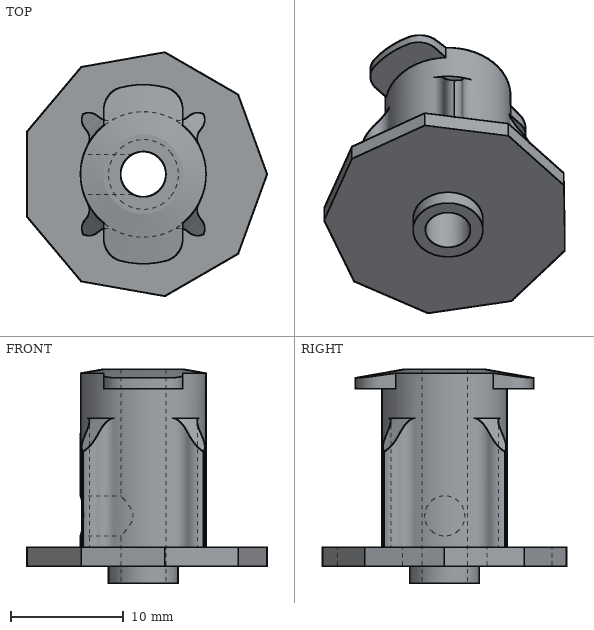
import cadquery as cq
import math

total_height = 19.0
spigot_height = 1.5
flange_thickness = 1.7
flange_top = spigot_height + flange_thickness
lug_underside = 17.25

bore_radius = 2.0
spigot_radius = 3.1
body_radius = 5.575
top_flat_radius = 3.55
top_slope_angle = 10.0

flange_sides = 9
flange_corner_radius = 11.0

lug_reach = 7.95
lug_width = 7.0
lug_corner_radius = 2.0

rib_angles = (45, 135, 225, 315)
rib_flank_taper = math.radians(8.0)
rib_root_fillet = 1.15
rib_nose_start = 6.62
rib_nose_start_half_width = 0.77
rib_nose_radius = 1.15
rib_top = 14.65
rib_tip_top = 11.7

cross_hole_radius = 1.78
cross_hole_height = 6.0

flank_normal_x = math.sin(rib_flank_taper)
flank_normal_y = math.cos(rib_flank_taper)

nose_centre_x = rib_nose_start - rib_nose_radius * flank_normal_x
nose_centre_y = rib_nose_start_half_width - rib_nose_radius * flank_normal_y
nose_tip_angle = math.asin(-nose_centre_y / rib_nose_radius)
rib_tip = nose_centre_x + rib_nose_radius * math.cos(nose_tip_angle)


def cylinder(radius, bottom, top):
    return cq.Workplane("XY").workplane(offset=bottom).circle(radius).extrude(top - bottom)


def make_flange():
    return (
        cq.Workplane("XY")
        .workplane(offset=spigot_height)
        .polygon(flange_sides, 2 * flange_corner_radius)
        .extrude(flange_thickness)
    )


def make_lugs():
    """Full-length bar whose rounded ends overhang the body on both sides."""
    thickness = total_height - lug_underside
    bar_length = 3 * lug_reach
    bar = (
        cq.Workplane("XY")
        .workplane(offset=lug_underside)
        .rect(lug_width, bar_length)
        .extrude(thickness)
    )
    disc = cylinder(lug_reach, lug_underside, total_height)
    return bar.intersect(disc).edges("|Z").fillet(lug_corner_radius)


def make_top_envelope():
    """Solid of revolution with a flat crown and a shallow conical slope around it."""
    outer_radius = flange_corner_radius
    drop = (outer_radius - top_flat_radius) * math.tan(math.radians(top_slope_angle))
    return (
        cq.Workplane("XZ")
        .moveTo(0, 0)
        .lineTo(outer_radius, 0)
        .lineTo(outer_radius, total_height - drop)
        .lineTo(top_flat_radius, total_height)
        .lineTo(0, total_height)
        .close()
        .revolve(360, (0, 0), (0, 1))
    )


def nose_midpoint():
    """Middle of the nose arc on the +Y side."""
    flank_angle = math.pi / 2 - rib_flank_taper
    middle_angle = (flank_angle + nose_tip_angle) / 2
    x = nose_centre_x + rib_nose_radius * math.cos(middle_angle)
    y = nose_centre_y + rib_nose_radius * math.sin(middle_angle)
    return x, y


def root_fillet_points():
    """Body end, middle and flank end of the +Y root fillet, tangent to the body and the flank."""
    flank_offset = flank_normal_x * rib_nose_start + flank_normal_y * rib_nose_start_half_width
    centre_distance = body_radius + rib_root_fillet
    across = flank_offset + rib_root_fillet
    along = math.sqrt(centre_distance**2 - across**2)
    centre_x = across * flank_normal_x + along * flank_normal_y
    centre_y = across * flank_normal_y - along * flank_normal_x

    body_contact_angle = math.atan2(-centre_y, -centre_x)
    flank_contact_angle = -math.pi / 2 - rib_flank_taper
    middle_angle = (body_contact_angle + flank_contact_angle) / 2
    return [
        (
            centre_x + rib_root_fillet * math.cos(angle),
            centre_y + rib_root_fillet * math.sin(angle),
        )
        for angle in (body_contact_angle, middle_angle, flank_contact_angle)
    ]


def mirrored(point):
    x, y = point
    return x, -y


def make_rib():
    """Rib along +X with concave roots, tapering flanks and a rounded nose."""
    fillet_start, fillet_middle, flank_start = root_fillet_points()
    flank_end = (rib_nose_start, rib_nose_start_half_width)
    nose_middle = nose_midpoint()
    inner_corner = (bore_radius, fillet_start[1])
    return (
        cq.Workplane("XY")
        .workplane(offset=flange_top)
        .moveTo(*mirrored(inner_corner))
        .lineTo(*mirrored(fillet_start))
        .threePointArc(mirrored(fillet_middle), mirrored(flank_start))
        .lineTo(*mirrored(flank_end))
        .threePointArc(mirrored(nose_middle), (rib_tip, 0))
        .threePointArc(nose_middle, flank_end)
        .lineTo(*flank_start)
        .threePointArc(fillet_middle, fillet_start)
        .lineTo(*inner_corner)
        .close()
        .extrude(rib_top - flange_top)
    )


def make_rib_envelope():
    """Steep cone that slopes the rib tops from the body surface down to the tips."""
    return (
        cq.Workplane("XZ")
        .moveTo(0, 0)
        .lineTo(rib_tip, 0)
        .lineTo(rib_tip, rib_tip_top)
        .lineTo(body_radius, rib_top)
        .lineTo(0, rib_top)
        .close()
        .revolve(360, (0, 0), (0, 1))
    )


def make_cross_hole():
    """Radial hole from the -X side that stops at the bore axis."""
    return (
        cq.Workplane("YZ")
        .center(0, cross_hole_height)
        .circle(cross_hole_radius)
        .extrude(-flange_corner_radius)
    )


head = cylinder(body_radius, flange_top, total_height).union(make_lugs())
head = head.intersect(make_top_envelope())

sloped_rib = make_rib().intersect(make_rib_envelope())
for angle in rib_angles:
    head = head.union(sloped_rib.rotate((0, 0, 0), (0, 0, 1), angle))

result = (
    head.union(make_flange())
    .union(cylinder(spigot_radius, 0, spigot_height))
    .cut(cylinder(bore_radius, 0, total_height))
    .cut(make_cross_hole())
)